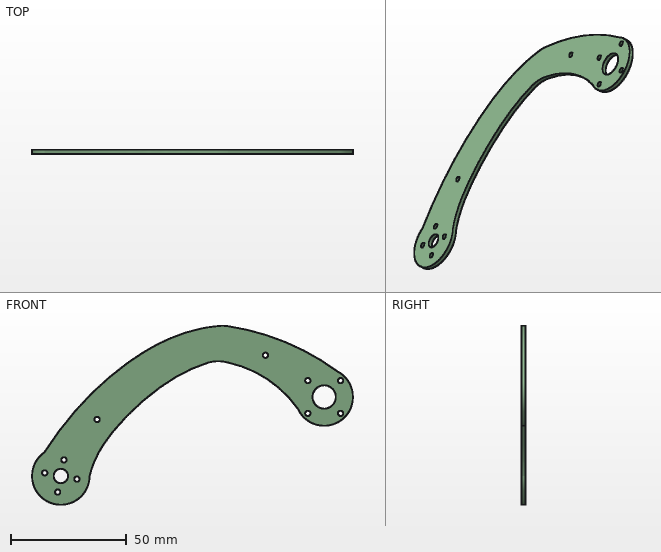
import cadquery as cq
import math

thickness = 2.0
hub_radius = 12.5
near_hub = (0.0, 0.0)
far_hub = (113.6, 34.1)
near_bore_diameter = 6.1
far_bore_diameter = 10.0

screw_diameter = 2.2
near_screw_circle_radius = 7.0
near_screw_angle = 79.0
far_screw_spacing = 14.1
arm_screws = [(15.7, 24.4), (88.2, 52.1)]

outer_start = (-7.2, 10.1)
outer_long_points = [(14.4, 36.7), (27.8, 48.0), (41.1, 56.5), (54.5, 62.0)]
outer_crown_start = (67.5, 64.7)
outer_crown_top = (69.7, 64.8)
outer_crown_end = (72.0, 64.7)
outer_short_middle = (97.9, 57.3)
outer_end = (119.7, 44.9)

inner_start = (103.0, 27.7)
inner_short_middle = (91.3, 40.2)
inner_crown_start = (72.0, 48.9)
inner_crown_top = (67.9, 49.5)
inner_crown_end = (63.7, 48.9)
inner_long_points = [(51.1, 43.5), (37.8, 34.4), (24.4, 21.3), (17.7, 12.5)]
inner_end = (12.5, 0.0)


def plate_plane():
    """XZ plane placed so that extrusion is centred on Y = 0."""
    return cq.Workplane("XZ", origin=(0, thickness / 2, 0))


def discs(centers, diameter):
    return plate_plane().pushPoints(centers).circle(diameter / 2).extrude(thickness)


def arm():
    """Curved band closed through both hub centres."""
    return (
        plate_plane()
        .moveTo(*outer_start)
        .spline([*outer_long_points, outer_crown_start], includeCurrent=True)
        .threePointArc(outer_crown_top, outer_crown_end)
        .threePointArc(outer_short_middle, outer_end)
        .lineTo(*far_hub)
        .lineTo(*inner_start)
        .threePointArc(inner_short_middle, inner_crown_start)
        .threePointArc(inner_crown_top, inner_crown_end)
        .spline([*inner_long_points, inner_end], includeCurrent=True)
        .lineTo(*near_hub)
        .close()
        .extrude(thickness)
    )


def near_screws():
    """Four holes on a circle turned about the near hub."""
    angles = [math.radians(near_screw_angle + 90 * turn) for turn in range(4)]
    radius = near_screw_circle_radius
    return [(radius * math.cos(a), radius * math.sin(a)) for a in angles]


def far_screws():
    """Four holes on a square about the far hub."""
    offset = far_screw_spacing / 2
    return [
        (far_hub[0] + side_x * offset, far_hub[1] + side_z * offset)
        for side_x in (-1, 1)
        for side_z in (-1, 1)
    ]


plate = arm().union(discs([near_hub, far_hub], 2 * hub_radius))
plate = plate.cut(discs([near_hub], near_bore_diameter))
plate = plate.cut(discs([far_hub], far_bore_diameter))
result = plate.cut(discs(near_screws() + far_screws() + arm_screws, screw_diameter))